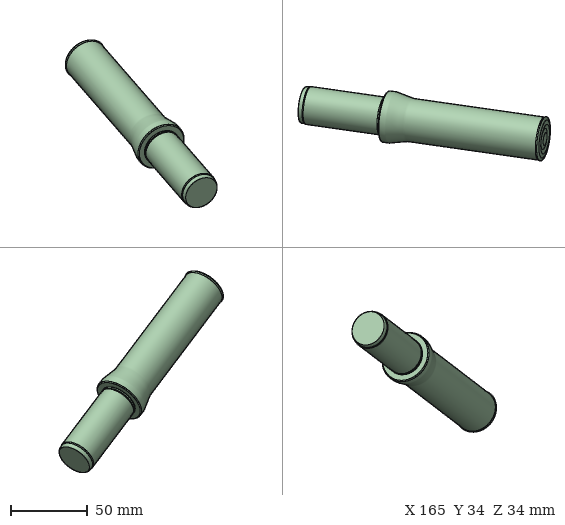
import math

import cadquery as cq

LENGTH = 165.0

PIN_RADIUS = 25.0 / 2
NECK_RADIUS = 24.5 / 2
NECK_END_X = 110.0
NECK_TAPER_END_X = 110.9
TIP_TAPER_START_X = 161.2
TIP_TAPER_END_X = 162.0
TIP_ROUND_START_X = 163.4
TIP_ROUND_MID_X = 164.3
TIP_ROUND_MID_RADIUS = 12.0
TIP_FACE_RADIUS = 11.5

CENTRE_FLAT_RADIUS = 0.25
INNER_CREST_RADIUS = 4.3
VALLEY_RADIUS = 7.0
OUTER_CREST_RADIUS = 9.7
CENTRE_DEPTH = 0.41
VALLEY_DEPTH = 0.7
RIM_SLOPE = 0.13

SLEEVE_RADIUS = 28.5 / 2
LIP_RADIUS = 29.2 / 2
LIP_FACE_RADIUS = 13.7
LIP_ROUND_END_X = 1.3
LIP_END_X = 2.3
COLLAR_RADIUS = 34.0 / 2
CONE_START_X = 91.7
CONE_END_X = 103.8
CONE_START_BLEND = 0.7
CONE_END_BLEND = 0.3
COLLAR_END_X = 108.9
COLLAR_CHAMFER = 0.7
CONE_ANGLE = math.atan2(COLLAR_RADIUS - SLEEVE_RADIUS, CONE_END_X - CONE_START_X)


def rim_x(radius):
    """X of the sloping end face, shared by pin and sleeve, at a radius."""
    return RIM_SLOPE * (radius - OUTER_CREST_RADIUS)


def cone_point(corner_x, corner_radius, distance):
    """Point on the collar's cone line, a signed distance from one of its corners."""
    return (
        corner_x + distance * math.cos(CONE_ANGLE),
        corner_radius + distance * math.sin(CONE_ANGLE),
    )


def turn(profile):
    """Revolve a closed half profile about the X axis."""
    return profile.revolve(360, (0, 0, 0), (1, 0, 0))


def make_sleeve():
    """Bored sleeve with a rounded lip at one end and a tapered collar at the other."""
    lip_round = LIP_RADIUS - LIP_FACE_RADIUS
    lip_face_x = rim_x(LIP_FACE_RADIUS)
    mid_share = math.sqrt(0.5)
    lip_round_mid = (
        LIP_ROUND_END_X - mid_share * (LIP_ROUND_END_X - lip_face_x),
        LIP_FACE_RADIUS + mid_share * lip_round,
    )
    blended_cone_start = cone_point(CONE_START_X, SLEEVE_RADIUS, CONE_START_BLEND)
    blended_cone_end = cone_point(CONE_END_X, COLLAR_RADIUS, -CONE_END_BLEND)

    profile = (
        cq.Workplane("XY")
        .moveTo(rim_x(PIN_RADIUS), PIN_RADIUS)
        .lineTo(lip_face_x, LIP_FACE_RADIUS)
        .threePointArc(lip_round_mid, (LIP_ROUND_END_X, LIP_RADIUS))
        .lineTo(LIP_END_X, SLEEVE_RADIUS)
        .lineTo(CONE_START_X - CONE_START_BLEND, SLEEVE_RADIUS)
        .tangentArcPoint(blended_cone_start, relative=False)
        .lineTo(*blended_cone_end)
        .tangentArcPoint((CONE_END_X + CONE_END_BLEND, COLLAR_RADIUS), relative=False)
        .lineTo(COLLAR_END_X - COLLAR_CHAMFER, COLLAR_RADIUS)
        .lineTo(COLLAR_END_X, COLLAR_RADIUS - COLLAR_CHAMFER)
        .lineTo(COLLAR_END_X, PIN_RADIUS)
        .close()
    )
    return turn(profile)


def make_pin():
    """Pin through the sleeve, with a rippled face, a relief neck and a rounded tip."""
    profile = (
        cq.Workplane("XY")
        .moveTo(CENTRE_DEPTH, 0)
        .lineTo(CENTRE_DEPTH, CENTRE_FLAT_RADIUS)
        .lineTo(0, INNER_CREST_RADIUS)
        .lineTo(VALLEY_DEPTH, VALLEY_RADIUS)
        .lineTo(0, OUTER_CREST_RADIUS)
        .lineTo(rim_x(PIN_RADIUS), PIN_RADIUS)
        .lineTo(COLLAR_END_X, PIN_RADIUS)
        .lineTo(COLLAR_END_X, NECK_RADIUS)
        .lineTo(NECK_END_X, NECK_RADIUS)
        .lineTo(NECK_TAPER_END_X, PIN_RADIUS)
        .lineTo(TIP_TAPER_START_X, PIN_RADIUS)
        .lineTo(TIP_TAPER_END_X, NECK_RADIUS)
        .lineTo(TIP_ROUND_START_X, NECK_RADIUS)
        .threePointArc((TIP_ROUND_MID_X, TIP_ROUND_MID_RADIUS), (LENGTH, TIP_FACE_RADIUS))
        .lineTo(LENGTH, 0)
        .close()
    )
    return turn(profile)


sleeve = make_sleeve()
pin = make_pin()
result = cq.Compound.makeCompound([sleeve.val(), pin.val()])